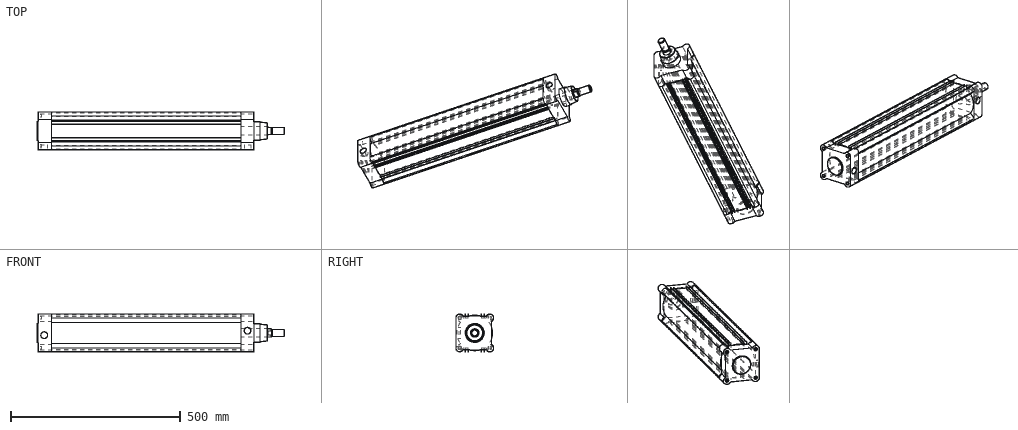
import cadquery as cq
import math


total_length = 733.0
body_width = 112.0
half_width = body_width / 2

rear_cap_start = 4.0
barrel_start = 43.0
barrel_end = 604.0
front_cap_end = 642.0

corner_spacing = 89.0
corner_offset = corner_spacing / 2
corner_radius = half_width - corner_offset
cap_half_width = 50.0
screw_hole_radius = 4.0
screw_hole_depth = 11.0
screw_hole_chamfer = 1.5
port_radius = 9.5
port_chamfer = 1.0
port_depth = 15.0
port_offset = 6.5
rear_port_x = 22.0
pilot_radius = 28.5
pilot_chamfer = 1.8

nose_radius = 28.0
taper_start = 660.5
taper_start_radius = 26.5
taper_end_radius = 24.0
nose_end = 682.0
nose_chamfer = 1.1

barrel_radius = 53.0
beam_depth = 15.5
channel_outer = 33.0
channel_floor = channel_outer + half_width - corner_offset
channel_thickness = 7.0
rail_offsets = (20.0, 28.5)
rail_width = 1.5
channel_inner = rail_offsets[0] - rail_width / 2

rod_radius = 12.5
rod_shoulder_end = 693.5
rod_shoulder_chamfer = 1.0
flats_start = 683.0
across_flats = 21.0
thread_radius = across_flats / 2
thread_chamfer = 2.0
neck_radius = 10.0
neck_length = 3.0


def x_cylinder(radius, start, end, y=0.0, z=0.0):
    """Cylinder parallel to X between two X stations."""
    return cq.Workplane("YZ", origin=(start, y, z)).circle(radius).extrude(end - start)


def block(x_range, y_range, z_range):
    """Box given by its limits along X, Y and Z."""
    limits = (x_range, y_range, z_range)
    sizes = [high - low for low, high in limits]
    corner = tuple(low for low, high in limits)
    return cq.Workplane("XY").box(*sizes, centered=False).translate(corner)


def corners():
    """Sign pairs (y_side, z_side) of the four corners."""
    return [(y_side, z_side) for y_side in (-1, 1) for z_side in (-1, 1)]


def cap_blank(start, end):
    """Square block with four corner lobes and a -Y side that is flush with the lobes."""
    flat = (-cap_half_width, cap_half_width)
    blank = block((start, end), flat, flat)
    for y_side, z_side in corners():
        lobe = x_cylinder(corner_radius, start, end, y_side * corner_offset, z_side * corner_offset)
        blank = blank.union(lobe)
    port_side = block((start, end), (-half_width, 0), (-corner_offset, corner_offset))
    return blank.union(port_side)


def chamfered_hole(radius, depth, chamfer, mouth, direction):
    """Cutter for a blind hole with a 45 degree chamfer at its mouth."""
    bore = cq.Solid.makeCylinder(radius, depth, mouth, direction)
    cone = cq.Solid.makeCone(radius + chamfer, radius, chamfer, mouth, direction)
    return bore.fuse(cone)


def port(x, z):
    """Cutter for an air port in the -Y side."""
    mouth = cq.Vector(x, -half_width, z)
    return chamfered_hole(port_radius, port_depth, port_chamfer, mouth, cq.Vector(0, 1, 0))


def make_rear_cap():
    """Rear cap with its pilot, four screw holes and an air port below the axis."""
    cap = cap_blank(rear_cap_start, barrel_start)
    pilot = x_cylinder(pilot_radius, 0, rear_cap_start).faces("<X").chamfer(pilot_chamfer)
    cap = cap.union(pilot)
    inward = cq.Vector(1, 0, 0)
    for y_side, z_side in corners():
        mouth = cq.Vector(rear_cap_start, y_side * corner_offset, z_side * corner_offset)
        cap = cap.cut(chamfered_hole(screw_hole_radius, screw_hole_depth, screw_hole_chamfer, mouth, inward))
    return cap.cut(port(rear_port_x, -port_offset))


def make_front_cap():
    """Front cap with its nose, the rod bore and an air port above the axis."""
    cap = cap_blank(barrel_end, front_cap_end)
    nose = (
        cq.Workplane("XY")
        .moveTo(barrel_end, 0)
        .lineTo(barrel_end, nose_radius)
        .lineTo(taper_start, nose_radius)
        .lineTo(taper_start, taper_start_radius)
        .lineTo(nose_end - nose_chamfer, taper_end_radius)
        .lineTo(nose_end, taper_end_radius - nose_chamfer)
        .lineTo(nose_end, 0)
        .close()
        .revolve(360, (0, 0, 0), (1, 0, 0))
    )
    cap = cap.union(nose)
    cap = cap.cut(port((barrel_end + front_cap_end) / 2, port_offset))
    return cap.cut(x_cylinder(rod_radius, barrel_end, nose_end))


def corner_beam(y_side, z_side):
    """Beam with a round outer corner and two 45 degree flanks that run into the core."""
    arc_middle = corner_offset + corner_radius * math.sqrt(0.5)
    flank_far = half_width - beam_depth
    flank_near = corner_offset - beam_depth

    def at(y, z):
        return (y_side * y, z_side * z)

    return (
        cq.Workplane("YZ", origin=(barrel_start, 0, 0))
        .moveTo(*at(half_width, corner_offset))
        .threePointArc(at(arc_middle, arc_middle), at(corner_offset, half_width))
        .lineTo(*at(flank_near, flank_far))
        .lineTo(*at(flank_far, flank_near))
        .close()
        .extrude(barrel_end - barrel_start)
    )


def make_barrel():
    """Profile barrel with a flat channel and a pair of rails along each edge of its top and bottom."""
    length = (barrel_start, barrel_end)
    barrel = x_cylinder(barrel_radius, *length)
    channel_bottom = channel_floor - channel_thickness
    for side in (-1, 1):
        across = sorted((side * channel_inner, side * channel_outer))
        for face in (-1, 1):
            space = sorted((face * channel_floor, face * half_width))
            barrel = barrel.cut(block(length, across, space))
            floor = sorted((face * channel_bottom, face * channel_floor))
            barrel = barrel.union(block(length, across, floor))
            height = sorted((face * channel_bottom, face * half_width))
            for offset in rail_offsets:
                middle = side * offset
                width = (middle - rail_width / 2, middle + rail_width / 2)
                barrel = barrel.union(block(length, width, height))
    for y_side, z_side in corners():
        barrel = barrel.union(corner_beam(y_side, z_side))
    return barrel


def make_piston_rod():
    """Rod with two wrench flats facing +Y and -Y, a short neck and a thinner threaded end."""
    rod = x_cylinder(rod_radius, barrel_end, rod_shoulder_end).faces(">X").chamfer(rod_shoulder_chamfer)
    flat_range = (flats_start, rod_shoulder_end)
    full_range = (-rod_radius, rod_radius)
    for side in (-1, 1):
        beyond_flat = sorted((side * across_flats / 2, side * rod_radius))
        rod = rod.cut(block(flat_range, beyond_flat, full_range))
    thread_start = rod_shoulder_end + neck_length
    rod = rod.union(x_cylinder(neck_radius, rod_shoulder_end, thread_start))
    thread = x_cylinder(thread_radius, thread_start, total_length).faces(">X").chamfer(thread_chamfer)
    return rod.union(thread)


rear_cap = make_rear_cap()
barrel = make_barrel()
front_cap = make_front_cap()
piston_rod = make_piston_rod()

bodies = (rear_cap, barrel, front_cap, piston_rod)
result = cq.Compound.makeCompound([body.solids().val() for body in bodies])